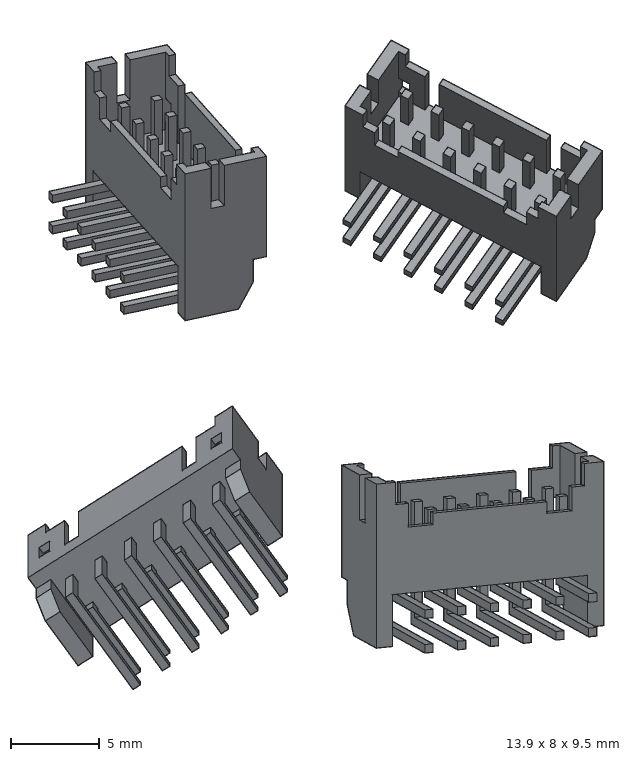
import cadquery as cq

WIDTH = 13.9
DEPTH = 5.0
HEIGHT = 9.5
END_WALL = 0.75
SIDE_WALL = 0.42

BODY_BOTTOM = 3.0
FLOOR = 4.5
WALL_TOP = HEIGHT - 1.29
TONGUE_TOP = HEIGHT - 2.0
FRONT_NOTCH_BOTTOM = HEIGHT - 2.67
END_SLOT_BOTTOM = HEIGHT - 2.6

POST_WIDTH = 1.2
FRONT_NOTCH_START = 1.96
FRONT_NOTCH_END = 3.48
BACK_NOTCH_START = 2.49
BACK_NOTCH_END = 3.42

END_SLOT_FRONT = 1.6
END_SLOT_WIDTH = 0.8

FOOT_WIDTH = 1.0
FOOT_SETBACK = 0.8
FOOT_CHAMFER_DEPTH = 0.92
FOOT_CHAMFER_HEIGHT = 1.57

WINDOW_WIDTH = 0.71
WINDOW_HEIGHT = 1.5
WINDOW_SILL = 0.5

PIN_SIZE = 0.5
PIN_PITCH = 2.0
PINS_PER_ROW = 6
FRONT_ROW_Y = DEPTH / 2 - PIN_PITCH / 2
PIN_TOP = HEIGHT - 2.1
TAIL_LENGTH = 3.0
LOWER_TAIL_Z = 0.47

INNER_WIDTH = WIDTH - 2 * END_WALL
INNER_DEPTH = DEPTH - 2 * SIDE_WALL


def block(x_range, y_range, z_range):
    """Axis-aligned box between the given limits."""
    (x0, x1), (y0, y1), (z0, z1) = x_range, y_range, z_range
    return cq.Workplane("XY").box(x1 - x0, y1 - y0, z1 - z0, centered=False).translate((x0, y0, z0))


def mirrored(solid):
    """The solid together with its mirror image at the other end of the housing."""
    return solid.union(solid.mirror("YZ"))


def shell():
    """Open-topped box with a solid floor."""
    outer = block((-WIDTH / 2, WIDTH / 2), (0, DEPTH), (BODY_BOTTOM, HEIGHT))
    cavity = block(
        (-INNER_WIDTH / 2, INNER_WIDTH / 2),
        (SIDE_WALL, SIDE_WALL + INNER_DEPTH),
        (FLOOR, HEIGHT),
    )
    return outer.cut(cavity)


def feet():
    """Feet below both ends, set back and chamfered at the rear."""
    back = DEPTH - FOOT_SETBACK
    outline = [
        (0, 0),
        (back - FOOT_CHAMFER_DEPTH, 0),
        (back, FOOT_CHAMFER_HEIGHT),
        (back, BODY_BOTTOM),
        (0, BODY_BOTTOM),
    ]
    foot = cq.Workplane("YZ").polyline(outline).close().extrude(FOOT_WIDTH)
    return mirrored(foot.translate((-WIDTH / 2, 0, 0)))


def wall_cuts():
    """Everything removed from the four walls."""
    left = -WIDTH / 2
    front_wall = (0, SIDE_WALL)
    back_wall = (DEPTH - SIDE_WALL, DEPTH)
    end_wall = (left, left + END_WALL)
    half_span = WIDTH / 2 - POST_WIDTH
    half_tongue = WIDTH / 2 - FRONT_NOTCH_END

    lowered_walls = block((-half_span, half_span), (0, DEPTH), (WALL_TOP, HEIGHT))
    above_tongue = block((-half_tongue, half_tongue), front_wall, (TONGUE_TOP, HEIGHT))

    front_notch = block(
        (left + FRONT_NOTCH_START, left + FRONT_NOTCH_END), front_wall, (FRONT_NOTCH_BOTTOM, HEIGHT)
    )
    back_notch = block((left + BACK_NOTCH_START, left + BACK_NOTCH_END), back_wall, (FLOOR, HEIGHT))
    end_slot = block(
        end_wall, (END_SLOT_FRONT, END_SLOT_FRONT + END_SLOT_WIDTH), (END_SLOT_BOTTOM, HEIGHT)
    )
    window_bottom = FLOOR + WINDOW_SILL
    window = block(
        (left + END_WALL, left + END_WALL + WINDOW_WIDTH),
        back_wall,
        (window_bottom, window_bottom + WINDOW_HEIGHT),
    )
    end_cuts = front_notch.union(back_notch).union(end_slot).union(window)
    return lowered_walls.union(above_tongue).union(mirrored(end_cuts))


def pin(x, y, tail_z):
    """Upright pin at (x, y) with a tail running forward, centred on height tail_z."""
    half = PIN_SIZE / 2
    x_range = (x - half, x + half)
    upright = block(x_range, (y - half, y + half), (tail_z - half, PIN_TOP))
    tail = block(x_range, (-TAIL_LENGTH, y + half), (tail_z - half, tail_z + half))
    return upright.union(tail)


result = shell().union(feet()).cut(wall_cuts())

for row in range(2):
    pin_y = FRONT_ROW_Y + row * PIN_PITCH
    pin_tail_z = LOWER_TAIL_Z + (1 - row) * PIN_PITCH
    for column in range(PINS_PER_ROW):
        pin_x = (column - (PINS_PER_ROW - 1) / 2) * PIN_PITCH
        result = result.union(pin(pin_x, pin_y, pin_tail_z))